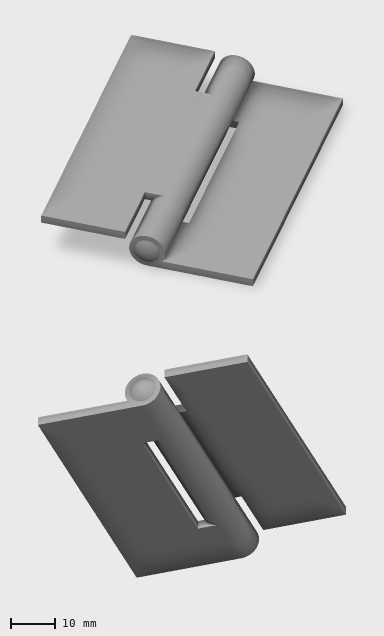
import cadquery as cq

pin_length = 70.0
hinge_width = 50.0
leaf_length = 68.0
leaf_thickness = 2.0
knuckle_diameter = 8.5
pin_diameter = 6.0
middle_knuckle_length = 38.0
knuckle_clearance = 1.0

leaf_reach = hinge_width / 2
knuckle_radius = knuckle_diameter / 2
pin_radius = pin_diameter / 2
plate_setback = knuckle_radius + knuckle_clearance
end_knuckle_length = (leaf_length - middle_knuckle_length) / 2
end_knuckle_offset = (middle_knuckle_length + end_knuckle_length) / 2
dome_height = (pin_length - leaf_length) / 2


def cylinder_along_axis(radius, length, center_y=0):
    """Cylinder on the hinge axis, centred at center_y."""
    return (
        cq.Workplane("XZ", origin=(0, center_y + length / 2, 0))
        .circle(radius)
        .extrude(length)
    )


def plate(inner_x, length, center_y=0):
    """Flat plate from inner_x to the outer leaf edge, level with the knuckle bottom."""
    return (
        cq.Workplane("XY", origin=(inner_x, center_y, -knuckle_radius))
        .box(leaf_reach - inner_x, length, leaf_thickness, centered=(False, True, False))
    )


def make_leaf(knuckles):
    """Leaf on +X; knuckles lists the (length, center_y) of each rolled knuckle."""
    leaf = plate(plate_setback, leaf_length)
    for length, center_y in knuckles:
        leaf = leaf.union(plate(0, length, center_y))
        leaf = leaf.union(cylinder_along_axis(knuckle_radius, length, center_y))
    return leaf.cut(cylinder_along_axis(pin_radius, leaf_length))


def make_pin():
    """Pin that fills the knuckle bores, with a shallow dome at each end."""
    half_shank = leaf_length / 2
    half_pin = pin_length / 2
    dome_radius = (pin_radius**2 + dome_height**2) / (2 * dome_height)
    mid_x = pin_radius / 2
    mid_y = half_pin - dome_radius + (dome_radius**2 - mid_x**2) ** 0.5
    return (
        cq.Workplane("XY")
        .moveTo(0, -half_pin)
        .threePointArc((mid_x, -mid_y), (pin_radius, -half_shank))
        .lineTo(pin_radius, half_shank)
        .threePointArc((mid_x, mid_y), (0, half_pin))
        .close()
        .revolve(360, (0, 0, 0), (0, 1, 0))
    )


lower_leaf = make_leaf([
    (end_knuckle_length, -end_knuckle_offset),
    (end_knuckle_length, end_knuckle_offset),
])

upper_leaf = make_leaf([(middle_knuckle_length, 0)]).rotate((0, 0, 0), (0, 1, 0), 180)

pin = make_pin()

result = cq.Compound.makeCompound([lower_leaf.val(), upper_leaf.val(), pin.val()])